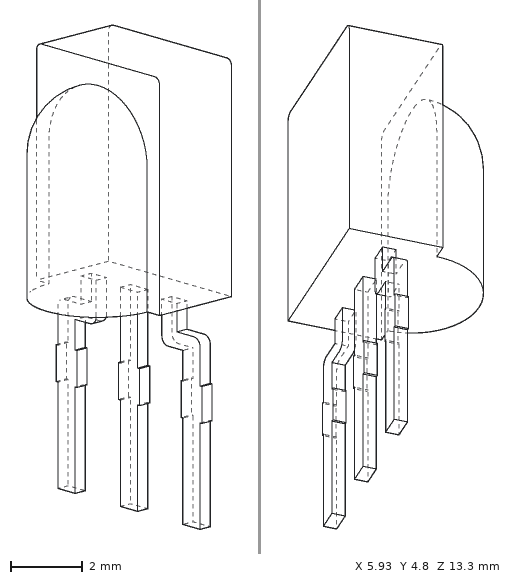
import cadquery as cq

total_height = 13.35
overall_width = 5.93

body_width = 5.0
body_depth = 2.8
body_height = 6.94
body_corner_radius = 0.2

lens_radius = 2.0
lens_straight_height = 4.2

lead_length = total_height - body_height
lead_thickness = 0.4
lead_center_y = body_depth / 2
middle_lead_width = 0.71
middle_collar_width = 0.87
outer_lead_width = 0.71
outer_collar_width = 0.84
outer_lead_x = (overall_width - outer_collar_width) / 2
collar_top_z = -2.22
collar_height = 1.08

root_inner_x = 1.34
root_outer_x = 1.95
jog_top_z = -0.83
jog_bottom_z = -1.32
jog_radius = 0.25


def block(width, x, z_bottom, z_top):
    """Lead segment centred on x and spanning the given heights."""
    return (
        cq.Workplane("XY", origin=(x, lead_center_y, z_bottom))
        .rect(width, lead_thickness)
        .extrude(z_top - z_bottom)
    )


def make_body():
    return (
        cq.Workplane("XY")
        .rect(body_width, body_depth)
        .extrude(body_height)
        .translate((0, body_depth / 2, 0))
        .edges("|Y and >Z")
        .fillet(body_corner_radius)
    )


def make_lens():
    cylinder = cq.Workplane("XY").circle(lens_radius).extrude(lens_straight_height)
    dome = cq.Workplane("XY").sphere(lens_radius).translate((0, 0, lens_straight_height))
    return cylinder.union(dome)


def make_collar(width, x):
    return block(width, x, collar_top_z - collar_height, collar_top_z)


def make_middle_lead():
    lead = block(middle_lead_width, 0, -lead_length, 0)
    return lead.union(make_collar(middle_collar_width, 0))


def make_outer_lead():
    """Lead on the +X side, stepping outward below the body."""
    leg_inner_x = outer_lead_x - outer_lead_width / 2
    leg_outer_x = outer_lead_x + outer_lead_width / 2
    lead = (
        cq.Workplane("XZ", origin=(0, lead_center_y, 0))
        .moveTo(root_inner_x, 0)
        .lineTo(root_outer_x, 0)
        .lineTo(root_outer_x, jog_top_z)
        .lineTo(leg_outer_x - jog_radius, jog_top_z)
        .radiusArc((leg_outer_x, jog_top_z - jog_radius), jog_radius)
        .lineTo(leg_outer_x, -lead_length)
        .lineTo(leg_inner_x, -lead_length)
        .lineTo(leg_inner_x, jog_bottom_z)
        .lineTo(root_inner_x + jog_radius, jog_bottom_z)
        .radiusArc((root_inner_x, jog_bottom_z + jog_radius), jog_radius)
        .close()
        .extrude(lead_thickness / 2, both=True)
    )
    return lead.union(make_collar(outer_collar_width, outer_lead_x))


right_lead = make_outer_lead()
left_lead = right_lead.mirror("YZ")

result = (
    make_body()
    .union(make_lens())
    .union(make_middle_lead())
    .union(right_lead)
    .union(left_lead)
)